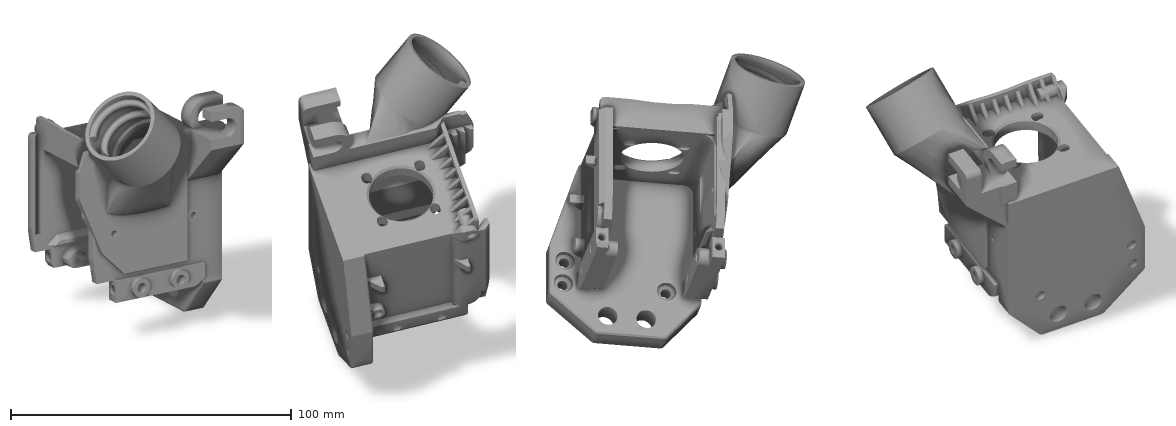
import cadquery as cq
import math

PLATE_DEPTH = 8.2
PLATE_RIGHT = 54.9
PLATE_TOP = 66.5
PLATE_TOP_LEFT = 10.6
PLATE_EDGE_CHAMFER = 0.6
PLATE_CORNER_RADIUS = 1.95

LEFT_OUTER = 9.6
LEFT_PANEL = 11.2
LEFT_INNER = 14.1
RIGHT_INNER = 51.9
RIGHT_PANEL = 54.9
RIGHT_OUTER = 56.5
ROOF_BOTTOM = 61.6
WALL_BOTTOM = 22.9
FRONT = -50.3
HEADER_BACK = -48.9
HEADER_TOP = 72.9
RAIL_FRONT = -54.6
RAIL_TOP = 66.7
FLANGE_FRONT = -46.0
FLANGE_BOTTOM = 14.9
LEFT_FLANGE_BOTTOM = 15.5
FLANGE_REAR_Z = 17.65

FAN_X = 33.2
FAN_Y = -28.1
FAN_BORE = 23.0
FAN_RIM = 24.6
FAN_SCREW_PITCH = 19.7
FAN_SLOT_LENGTH = 4.6
FAN_SLOT_WIDTH = 3.7

SCREW_HOLE = 2.5
SCREW_MOUTH = 3.5
PIN_HOLE = 2.3
BOSS_DIAMETER = 5.3
CLEARANCE_HOLE = 3.7
HEAD_DIAMETER = 7.0
HEAD_DEPTH = 1.95
SIDE_HOLE_Z = 19.3
SIDE_HOLE_YS = (-19.7, -36.2)

BOSS_LEFT = 8.1
TOP_BOSS_Y, TOP_BOSS_Z = -46.9, 67.3
LOW_BOSS_Y, LOW_BOSS_Z = -12.2, 32.3

UPPER_INNER = 51.3
UPPER_OUTER = 57.3
UPPER_TOP = 74.9
HOOK_BACK = -1.3
HOOK_Y = -8.2
HOOK_Z = 78.4
HOOK_INNER_RADIUS = 3.5
HOOK_OUTER_RADIUS = 6.9
HOOK_WIDTH = 6.0
HOOK_BASE_RIGHT = 71.4
HOOK_BASE_THICKNESS = 3.7

SOCKET_MOUTH = (70.7, -53.4, 87.4)
SOCKET_SWING = 12.0
SOCKET_LENGTH = 19.7
SOCKET_OUTER = 28.0
SOCKET_BORE = 25.0
SOCKET_THROAT = 22.0
SOCKET_FLOOR = 17.7
THREAD_CREST = 20.7
THREAD_WIDTH = 2.1
THREAD_PITCH = 8.3
THREAD_TURNS = 1.65
THREAD_START_ANGLE = 125.0
THREAD_START_DEPTH = 0.5
DUCT_BACK = -20.5
DUCT_FRONT = -49.9
DUCT_BOTTOM = 42.6
DUCT_SHOULDER_Z = 63.4
DUCT_SHOULDER_Y = -35.5
DUCT_WALL = 1.6


def block(x0, x1, y0, y1, z0, z1):
    """Axis-aligned box between two opposite corners."""
    return cq.Workplane("XY").box(x1 - x0, y1 - y0, z1 - z0, centered=False).translate((x0, y0, z0))


def prism_x(points, x0, x1):
    """Outline of (y, z) points extruded along X."""
    return cq.Workplane("YZ", origin=(x0, 0, 0)).polyline(points).close().extrude(x1 - x0)


def prism_y(points, y0, y1):
    """Outline of (x, z) points extruded along Y."""
    return cq.Workplane("XZ", origin=(0, y1, 0)).polyline(points).close().extrude(y1 - y0)


def prism_z(points, z0, z1):
    """Outline of (x, y) points extruded along Z."""
    return cq.Workplane("XY", origin=(0, 0, z0)).polyline(points).close().extrude(z1 - z0)


def rod_x(diameter, x0, x1, y, z):
    """Cylinder along X."""
    return cq.Workplane("YZ", origin=(x0, y, z)).circle(diameter / 2).extrude(x1 - x0)


def rod_y(diameter, y_front, depth, x, z):
    """Cylinder running backward along Y from its front face."""
    return cq.Workplane("XZ", origin=(x, y_front, z)).circle(diameter / 2).extrude(-depth)


def screw_hole(plane, origin, depth):
    """Blind screw hole with a conical mouth, drilled along the plane's normal."""
    lead = (SCREW_MOUTH - SCREW_HOLE) / 2
    profile = [
        (0, 0),
        (SCREW_MOUTH / 2, 0),
        (SCREW_HOLE / 2, lead),
        (SCREW_HOLE / 2, depth),
        (0, depth),
    ]
    hole = cq.Workplane("XZ").polyline(profile).close().revolve(360, (0, 0), (0, 1))
    return cq.Workplane(hole.val().moved(cq.Plane(origin, *plane).location))


def mounting_plate():
    outline = [
        (17.0, 0),
        (42.1, 0),
        (PLATE_RIGHT, 14.8),
        (PLATE_RIGHT, PLATE_TOP),
        (PLATE_TOP_LEFT, PLATE_TOP),
        (0, 34.0),
        (0, 14.4),
    ]
    plate = prism_y(outline, -PLATE_DEPTH, 0)
    plate = plate.edges("|Y").edges("<Z or <X").fillet(PLATE_CORNER_RADIUS)
    plate = plate.faces("<Y").edges("not >Z").edges("not (>X and |Z)").chamfer(PLATE_EDGE_CHAMFER)
    for x, z in ((5.5, 27.7), (4.9, 18.7), (42.3, 18.7)):
        plate = plate.cut(rod_y(CLEARANCE_HOLE, -PLATE_DEPTH, PLATE_DEPTH, x, z))
        plate = plate.cut(rod_y(HEAD_DIAMETER, -PLATE_DEPTH, HEAD_DEPTH, x, z))
    for x in (21.0, 34.9):
        plate = plate.cut(rod_y(HEAD_DIAMETER, -PLATE_DEPTH, PLATE_DEPTH, x, 7.1))
    return plate


def roof():
    body = block(LEFT_PANEL, RIGHT_PANEL, HEADER_BACK, 0, ROOF_BOTTOM, PLATE_TOP)
    bore = cq.Workplane("XY", origin=(FAN_X, FAN_Y, ROOF_BOTTOM)).circle(FAN_BORE / 2)
    body = body.cut(bore.extrude(PLATE_TOP - ROOF_BOTTOM))
    rim = (FAN_RIM - FAN_BORE) / 2
    cone = cq.Solid.makeCone(FAN_BORE / 2, FAN_RIM / 2, rim, cq.Vector(FAN_X, FAN_Y, PLATE_TOP - rim))
    body = body.cut(cq.Workplane(cone))
    slots = cq.Workplane("XY", origin=(FAN_X, FAN_Y, ROOF_BOTTOM))
    slots = slots.rect(FAN_SCREW_PITCH, FAN_SCREW_PITCH, forConstruction=True).vertices()
    return body.cut(slots.slot2D(FAN_SLOT_LENGTH, FAN_SLOT_WIDTH).extrude(PLATE_TOP - ROOF_BOTTOM))


def header():
    """Front strip above the opening, with stiffening ribs behind it."""
    left = 10.4
    dip_left, dip_right, dip = 21.6, 44.3, 0.6
    strip = (
        cq.Workplane("XZ", origin=(0, HEADER_BACK, 0))
        .moveTo(left, ROOF_BOTTOM)
        .lineTo(RIGHT_PANEL, ROOF_BOTTOM)
        .lineTo(RIGHT_PANEL, HEADER_TOP)
        .lineTo(dip_right, HEADER_TOP)
        .threePointArc(((dip_left + dip_right) / 2, HEADER_TOP - dip), (dip_left, HEADER_TOP))
        .lineTo(left, HEADER_TOP)
        .close()
        .extrude(HEADER_BACK - FRONT)
    )
    strip = strip.edges("|Y").edges("<X").edges(">Z").fillet(1.6)
    rib_width, rib_pitch, first_rib = 1.4, 4.8, 11.2
    long_reach, short_reach = 6.2, 4.5
    for i in range(9):
        reach = short_reach if 3 <= i <= 6 else long_reach
        x = first_rib + i * rib_pitch
        points = [
            (HEADER_BACK, PLATE_TOP),
            (HEADER_BACK + reach, PLATE_TOP),
            (HEADER_BACK, PLATE_TOP + reach),
        ]
        strip = strip.union(prism_x(points, x - rib_width / 2, x + rib_width / 2))
    return strip


def roof_rounding():
    """Concave rounding along the cavity where the roof meets both side walls."""
    radius = 3.6
    fill = block(LEFT_INNER, RIGHT_INNER, HEADER_BACK, -PLATE_DEPTH, ROOF_BOTTOM - radius, ROOF_BOTTOM)
    opening = block(
        LEFT_INNER, RIGHT_INNER, HEADER_BACK, -PLATE_DEPTH, ROOF_BOTTOM - 2 * radius, ROOF_BOTTOM
    )
    opening = opening.edges("|Y and >Z").fillet(radius)
    return fill.cut(opening)


def wall_outline():
    """Side wall profile as (y, z) points, from the mounting plate to the front rail."""
    return [
        (-PLATE_DEPTH, WALL_BOTTOM),
        (-53.0, WALL_BOTTOM),
        (RAIL_FRONT, 32.2),
        (RAIL_FRONT, RAIL_TOP),
        (FRONT, RAIL_TOP),
        (FRONT, PLATE_TOP),
        (-PLATE_DEPTH, PLATE_TOP),
    ]


def flange(x0, x1, bottom):
    """Strip below a side wall with its rear lower corner sloped away."""
    points = [
        (-PLATE_DEPTH, WALL_BOTTOM),
        (FLANGE_FRONT, WALL_BOTTOM),
        (FLANGE_FRONT, bottom),
        (-12.6, bottom),
        (-10.9, 15.6),
        (-PLATE_DEPTH, FLANGE_REAR_Z),
    ]
    return prism_x(points, x0, x1)


def inner_ledge(wall_x, direction):
    """Wedge-shaped ledge along the inside of a side wall, pointed at its front end."""
    reach, bottom, top = 1.95, 24.7, 28.1
    points = [
        (wall_x, bottom),
        (wall_x + direction * reach, bottom),
        (wall_x + direction * reach, top - reach),
        (wall_x, top),
    ]
    tip_start, tip_end = -43.9, -48.0
    ledge = prism_y(points, tip_end, -PLATE_DEPTH)
    slant = (tip_start - tip_end) / (top - bottom)
    tip_plane = cq.Plane((wall_x, tip_start, top), normal=(direction * slant, -1, slant))
    return ledge.cut(cq.Workplane(tip_plane).rect(19.5, 19.5).extrude(9.75))


def rail_groove(wall_x, panel_x):
    """Vertical groove inside a front rail: flat rear side, sloped front side."""
    bottom = 29.1
    points = [
        (wall_x, FRONT),
        (panel_x, FRONT),
        (wall_x, FRONT - abs(wall_x - panel_x)),
    ]
    return prism_z(points, bottom, RAIL_TOP)


def left_wall():
    wall = prism_x(wall_outline(), LEFT_OUTER, LEFT_INNER)
    corner = [
        (LEFT_OUTER, RAIL_FRONT),
        (LEFT_OUTER + 2.1, RAIL_FRONT),
        (LEFT_OUTER, RAIL_FRONT + 2.1),
    ]
    wall = wall.cut(prism_z(corner, WALL_BOTTOM, RAIL_TOP))
    deep = block(LEFT_OUTER, LEFT_PANEL, -40.5, -PLATE_DEPTH, 24.4, PLATE_TOP)
    front_slope = [(LEFT_PANEL, -40.5), (LEFT_OUTER, -40.5), (LEFT_OUTER, -42.9)]
    lower_slope = [(LEFT_PANEL, 24.4), (LEFT_OUTER, 24.4), (LEFT_OUTER, WALL_BOTTOM)]
    wall = wall.cut(deep)
    wall = wall.cut(prism_z(front_slope, WALL_BOTTOM, PLATE_TOP))
    wall = wall.cut(prism_y(lower_slope, -42.9, -PLATE_DEPTH))
    thin = (
        cq.Workplane("YZ", origin=(LEFT_OUTER, 0, 0))
        .moveTo(FLANGE_FRONT, WALL_BOTTOM)
        .threePointArc((-49.4, 24.4), (-50.9, 27.8))
        .lineTo(-50.7, 29.1)
        .lineTo(RAIL_FRONT, 29.1)
        .lineTo(RAIL_FRONT, WALL_BOTTOM)
        .close()
        .extrude(LEFT_PANEL - LEFT_OUTER)
    )
    wall = wall.cut(thin)
    wall = wall.cut(rail_groove(LEFT_INNER, LEFT_PANEL))
    lower = flange(LEFT_OUTER, LEFT_INNER, LEFT_FLANGE_BOTTOM)
    bevel = [
        (LEFT_OUTER, LEFT_FLANGE_BOTTOM),
        (LEFT_OUTER + 0.9, LEFT_FLANGE_BOTTOM),
        (LEFT_OUTER, 17.3),
    ]
    front_bevel = [
        (FLANGE_FRONT, LEFT_FLANGE_BOTTOM),
        (FLANGE_FRONT + 0.9, LEFT_FLANGE_BOTTOM),
        (FLANGE_FRONT, 17.3),
    ]
    lower = lower.cut(prism_y(bevel, FLANGE_FRONT, -PLATE_DEPTH))
    lower = lower.cut(prism_x(front_bevel, LEFT_OUTER, LEFT_INNER))
    return wall.union(lower).union(inner_ledge(LEFT_INNER, 1))


def snap_hook(back, front):
    """Wedge catch on the outside of the left wall."""
    tip_x, tip_thickness, bottom, top = 6.0, 1.1, 48.2, 51.3
    points = [
        (LEFT_PANEL, front),
        (tip_x, front),
        (tip_x, front + tip_thickness),
        (LEFT_PANEL, back),
    ]
    return prism_z(points, bottom, top)


FIN_OUTLINE = [
    (-15.6, 25.4),
    (-42.5, 25.4),
    (-51.7, 34.5),
    (-61.3, 56.9),
    (-61.3, 66.7),
    (-58.8, 74.0),
    (-56.8, 74.0),
    (-56.8, UPPER_TOP),
    (-15.6, UPPER_TOP),
]


def right_wall():
    wall = prism_x(wall_outline(), RIGHT_INNER, RIGHT_PANEL)
    wall = wall.cut(rail_groove(RIGHT_INNER, RIGHT_PANEL))
    wall = wall.union(flange(RIGHT_INNER, RIGHT_OUTER, FLANGE_BOTTOM))
    wall = wall.union(inner_ledge(RIGHT_INNER, -1))
    fin = prism_x(FIN_OUTLINE, RIGHT_PANEL, RIGHT_OUTER)
    envelope = prism_x(FIN_OUTLINE, RIGHT_INNER, RIGHT_PANEL)
    for tip_x, front, tip_thickness in ((RIGHT_INNER, -57.5, 0.1), (RIGHT_INNER + 1.0, -60.7, 0.9)):
        depth = RIGHT_PANEL - tip_x
        points = [
            (RIGHT_PANEL, front),
            (tip_x, front),
            (tip_x, front + tip_thickness),
            (RIGHT_PANEL, front + tip_thickness + depth),
        ]
        fin = fin.union(prism_z(points, 39.0, RAIL_TOP).intersect(envelope))
    wall = wall.union(fin)
    for y in (-12.2, -46.8):
        wall = wall.cut(rod_x(PIN_HOLE, RIGHT_INNER, RIGHT_OUTER, y, 41.2))
    return wall


def upper_wall():
    inner_bevel = RIGHT_PANEL - UPPER_INNER
    points = [
        (UPPER_INNER, -0.9),
        (UPPER_OUTER, -0.9),
        (UPPER_OUTER, -24.4),
        (RIGHT_OUTER, -24.4),
        (RIGHT_OUTER, -50.0),
        (RIGHT_PANEL, -50.0),
        (UPPER_INNER, -50.0 + inner_bevel),
    ]
    return prism_z(points, PLATE_TOP, UPPER_TOP)


def hook_base():
    """Shelf under the cable hooks, with a 45 degree underside down to the side wall."""
    shelf_bottom = UPPER_TOP - HOOK_BASE_THICKNESS
    run = HOOK_BASE_RIGHT - RIGHT_PANEL
    points = [
        (RIGHT_PANEL, UPPER_TOP),
        (HOOK_BASE_RIGHT, UPPER_TOP),
        (HOOK_BASE_RIGHT, shelf_bottom),
        (RIGHT_PANEL, shelf_bottom - run),
    ]
    return prism_y(points, HOOK_Y - HOOK_OUTER_RADIUS, HOOK_BACK)


def rear_open_hook():
    """Hook next to the housing, curled over from the front."""
    top = HOOK_Z + HOOK_OUTER_RADIUS
    arm_bottom = HOOK_Z + HOOK_INNER_RADIUS
    floor = HOOK_Z - HOOK_INNER_RADIUS
    return (
        cq.Workplane("YZ", origin=(UPPER_INNER, 0, 0))
        .moveTo(HOOK_BACK, top)
        .lineTo(HOOK_Y, top)
        .threePointArc((HOOK_Y - HOOK_OUTER_RADIUS, HOOK_Z), (HOOK_Y - 5.9, floor))
        .lineTo(HOOK_Y, floor)
        .threePointArc((HOOK_Y - HOOK_INNER_RADIUS, HOOK_Z), (HOOK_Y, arm_bottom))
        .lineTo(HOOK_BACK, arm_bottom)
        .close()
        .extrude(HOOK_WIDTH)
    )


def front_open_hook():
    """Outer hook, curled over from the rear."""
    top = HOOK_Z + HOOK_OUTER_RADIUS
    arm_bottom = HOOK_Z + HOOK_INNER_RADIUS
    floor = HOOK_Z - HOOK_INNER_RADIUS
    front = HOOK_Y - HOOK_OUTER_RADIUS
    hook = (
        cq.Workplane("YZ", origin=(HOOK_BASE_RIGHT - HOOK_WIDTH, 0, 0))
        .moveTo(front, top)
        .lineTo(HOOK_BACK, top)
        .lineTo(HOOK_BACK, floor)
        .lineTo(HOOK_Y, floor)
        .threePointArc((HOOK_Y + HOOK_INNER_RADIUS, HOOK_Z), (HOOK_Y, arm_bottom))
        .lineTo(front, arm_bottom)
        .close()
        .extrude(HOOK_WIDTH)
    )
    return hook.edges("|X").edges(">Y and >Z").fillet(2.2)


def top_boss():
    """Screw boss at the front of the roof, with a lug tapering back along the left wall."""
    radius = BOSS_DIAMETER / 2
    back = -40.5
    side = [
        (TOP_BOSS_Y, TOP_BOSS_Z - radius),
        (TOP_BOSS_Y, TOP_BOSS_Z + radius),
        (-43.6, TOP_BOSS_Z + radius),
        (back, 66.1),
        (back, TOP_BOSS_Z - radius),
    ]
    taper = [
        (BOSS_LEFT, TOP_BOSS_Y),
        (LEFT_PANEL, TOP_BOSS_Y),
        (LEFT_PANEL, back),
        (BOSS_LEFT, -43.9),
    ]
    height = (TOP_BOSS_Z - radius, TOP_BOSS_Z + radius)
    lug = prism_x(side, BOSS_LEFT, LEFT_PANEL).intersect(prism_z(taper, *height))
    return rod_x(BOSS_DIAMETER, BOSS_LEFT, 18.3, TOP_BOSS_Y, TOP_BOSS_Z).union(lug)


def low_boss():
    """Screw boss on the left wall, joined to the mounting plate by a tapered lug."""
    radius = BOSS_DIAMETER / 2
    lug = [
        (LEFT_PANEL, LOW_BOSS_Y),
        (BOSS_LEFT, LOW_BOSS_Y),
        (BOSS_LEFT, -10.6),
        (BOSS_LEFT + 2.4, -PLATE_DEPTH),
        (LEFT_PANEL, -PLATE_DEPTH),
    ]
    rod = rod_x(BOSS_DIAMETER, BOSS_LEFT, LEFT_PANEL, LOW_BOSS_Y, LOW_BOSS_Z)
    return rod.union(prism_z(lug, LOW_BOSS_Z - radius, LOW_BOSS_Z + radius))


def hinge_pad(x0, x1, bottom):
    """Thickening inside a flange, with a rounded front end."""
    top, front, corner = 22.4, -41.7, 3.1
    slack = corner * (1 - math.sqrt(0.5))
    return (
        cq.Workplane("YZ", origin=(x0, 0, 0))
        .moveTo(-12.6, bottom)
        .lineTo(-PLATE_DEPTH, FLANGE_REAR_Z)
        .lineTo(-PLATE_DEPTH, top)
        .lineTo(-35.7, top)
        .threePointArc((-39.6, 21.4), (front, 19.1))
        .lineTo(front, bottom + corner)
        .threePointArc((front + slack, bottom + slack), (front + corner, bottom))
        .close()
        .extrude(x1 - x0)
    )


SWING = math.radians(SOCKET_SWING)
SLOPE = math.cos(SWING) / math.sqrt(2)
SOCKET_AXIS = cq.Vector(math.sin(SWING), -SLOPE, SLOPE)
SOCKET_START = cq.Vector(*SOCKET_MOUTH) - SOCKET_AXIS * SOCKET_LENGTH


def socket_plane(height):
    """Plane across the socket at a height above its inner end."""
    return cq.Plane(SOCKET_START + SOCKET_AXIS * height, xDir=(0, -1, -1), normal=SOCKET_AXIS)


def duct(inset, diameter):
    """Transition from a five-sided opening in the side wall to the round socket."""
    corners = [
        (RIGHT_INNER, DUCT_BACK - inset, DUCT_BOTTOM + inset),
        (RIGHT_INNER, DUCT_FRONT + inset, DUCT_BOTTOM + inset),
        (RIGHT_INNER, DUCT_FRONT + inset, DUCT_SHOULDER_Z - inset),
        (RIGHT_INNER, DUCT_SHOULDER_Y, UPPER_TOP - inset),
        (RIGHT_INNER, DUCT_BACK - inset, UPPER_TOP - inset),
    ]
    opening = cq.Wire.makePolygon([cq.Vector(*c) for c in corners], close=True)
    circle = cq.Wire.makeCircle(diameter / 2, SOCKET_START, SOCKET_AXIS)
    return cq.Workplane(cq.Solid.makeLoft([opening, circle], True))


def socket_shell():
    return cq.Workplane(socket_plane(0)).circle(SOCKET_OUTER / 2).extrude(SOCKET_LENGTH)


def socket_bore():
    """Stepped bore: a narrow throat below the wider threaded part."""
    throat = cq.Workplane(socket_plane(0)).circle(SOCKET_THROAT / 2).extrude(SOCKET_LENGTH)
    main = cq.Workplane(socket_plane(SOCKET_LENGTH - SOCKET_FLOOR))
    return throat.union(main.circle(SOCKET_BORE / 2).extrude(SOCKET_FLOOR))


def hose_thread():
    """Round-nosed thread standing on the bore, winding inward from the mouth."""
    root = (SOCKET_BORE / 2 + SOCKET_OUTER / 2) / 2
    crest = THREAD_CREST / 2
    nose = THREAD_WIDTH / 2
    path = cq.Wire.makeHelix(THREAD_PITCH, THREAD_PITCH * THREAD_TURNS, root)
    ridge = (
        cq.Workplane("XZ")
        .moveTo(root, 0)
        .lineTo(crest + nose, 0)
        .threePointArc((crest, nose), (crest + nose, THREAD_WIDTH))
        .lineTo(root, THREAD_WIDTH)
        .close()
        .sweep(cq.Workplane(path), isFrenet=True)
    )
    vertical = cq.Vector(0, 0, 1)
    up = (vertical - SOCKET_AXIS * vertical.dot(SOCKET_AXIS)).normalized()
    side = up.cross(SOCKET_AXIS)
    angle = math.radians(THREAD_START_ANGLE)
    start = up * math.cos(angle) - side * math.sin(angle)
    origin = socket_plane(SOCKET_LENGTH - THREAD_START_DEPTH).origin
    frame = cq.Plane(origin, xDir=start, normal=-SOCKET_AXIS)
    return cq.Workplane(ridge.val().moved(frame.location))


result = mounting_plate()
for feature in (roof(), header(), roof_rounding(), left_wall(), right_wall(), upper_wall()):
    result = result.union(feature)
for feature in (hook_base(), rear_open_hook(), front_open_hook()):
    result = result.union(feature)
result = result.union(snap_hook(-PLATE_DEPTH, -14.1)).union(snap_hook(-40.8, -45.9))

result = result.union(top_boss()).union(low_boss())
for y, z in ((TOP_BOSS_Y, TOP_BOSS_Z), (LOW_BOSS_Y, LOW_BOSS_Z)):
    result = result.cut(screw_hole(((0, 1, 0), (1, 0, 0)), (BOSS_LEFT, y, z), 4.9))

result = result.union(hinge_pad(LEFT_INNER, 18.4, LEFT_FLANGE_BOTTOM))
result = result.union(hinge_pad(48.0, RIGHT_INNER, FLANGE_BOTTOM))
for y in SIDE_HOLE_YS:
    result = result.union(rod_x(HEAD_DIAMETER, RIGHT_OUTER, 58.3, y, SIDE_HOLE_Z))
    result = result.cut(rod_x(CLEARANCE_HOLE, 0, 63.4, y, SIDE_HOLE_Z))
for x in (11.9, 54.3):
    result = result.cut(screw_hole(((1, 0, 0), (0, 1, 0)), (x, FLANGE_FRONT, SIDE_HOLE_Z), 5.85))

result = result.union(duct(0, SOCKET_OUTER)).union(socket_shell())
result = result.cut(duct(DUCT_WALL, SOCKET_THROAT)).cut(socket_bore())
result = result.union(hose_thread())